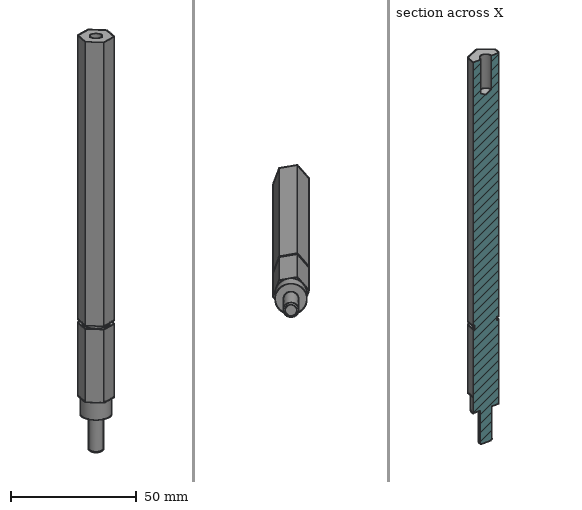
import cadquery as cq
import math

total_length = 178.6
across_flats = 12.7
hex_turn = -5.5
across_corners = across_flats / math.cos(math.radians(30))

stud_diameter = 6.0
stud_length = 15.7
stud_chamfer = 0.7
collar_diameter = across_flats
collar_length = 7.5
hex_bottom = stud_length + collar_length

groove_diameter = 11.0
groove_width = 1.5
groove_bottom = 54.8

bore_diameter = 5.0
bore_depth = 15.7
drill_point_angle = 118.0


def make_hex_body():
    length = total_length - hex_bottom
    body = cq.Workplane("XY").polygon(6, across_corners).extrude(length)
    return body.rotate((0, 0, 0), (0, 0, 1), hex_turn).translate((0, 0, hex_bottom))


def make_round_end():
    stud = cq.Workplane("XY").circle(stud_diameter / 2).extrude(stud_length)
    stud = stud.faces("<Z").chamfer(stud_chamfer)
    collar = cq.Workplane("XY").workplane(offset=stud_length)
    return stud.union(collar.circle(collar_diameter / 2).extrude(collar_length))


def make_groove_cutter():
    plane = cq.Workplane("XY").workplane(offset=groove_bottom)
    return plane.circle(across_corners).circle(groove_diameter / 2).extrude(groove_width)


def make_bore_cutter():
    radius = bore_diameter / 2
    shoulder = total_length - bore_depth
    tip = shoulder - radius / math.tan(math.radians(drill_point_angle / 2))
    profile = cq.Workplane("XZ").polyline(
        [(0, tip), (radius, shoulder), (radius, total_length), (0, total_length)]
    )
    return profile.close().revolve(360, (0, 0, 0), (0, 1, 0))


result = make_hex_body().union(make_round_end())
result = result.cut(make_groove_cutter()).cut(make_bore_cutter())